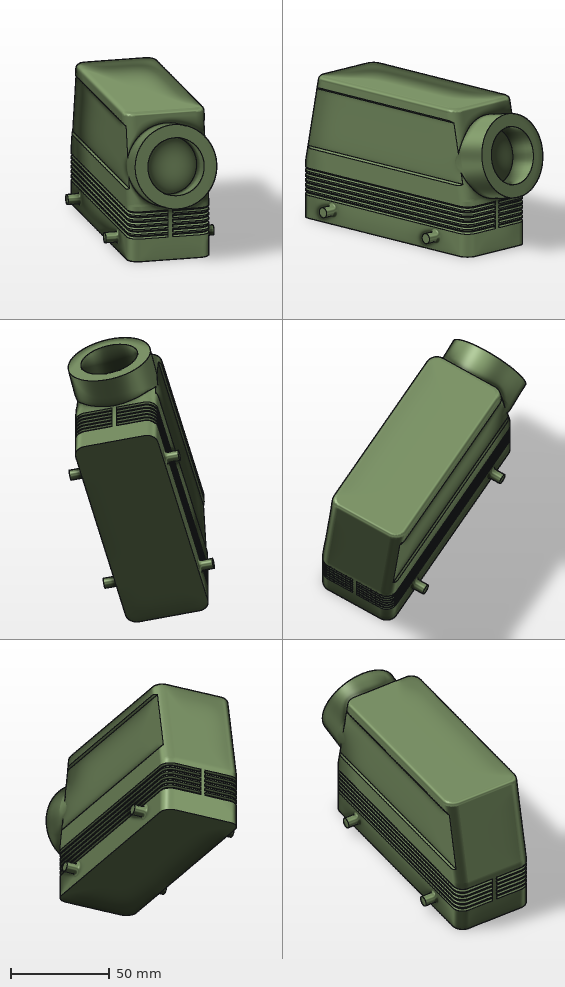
import cadquery as cq
import math

overall_length = 135.2

body_length = 120.1
body_width = 43.0
body_height = 76.0
knee_height = 29.5
end_slope = 11.7
knee_radius = 6.8
corner_radius = 5.8
top_edge_radius = 2.5

panel_depth = 1.01
panel_bottom = 36.9
panel_top = 69.9

groove_count = 6
groove_band_height = 14.3
groove_height = 1.8
groove_depth = 0.88
groove_band_bottom = 12.0
end_rib_width = 2.5

pin_spacing = 74.1
pin_height = 7.5
pin_diameter = 5.3
pin_tip_span = 57.0
pin_flare_diameter = 8.4

entry_height = 49.0
entry_diameter = body_width
bore_diameter = 29.6
root_length = 10.8
root_taper = 10.0

half_length = body_length / 2
half_width = body_width / 2
slope = math.radians(end_slope)
groove_pitch = (groove_band_height - groove_height) / (groove_count - 1)


def end_x(z):
    """Half length of the sloped body at height z."""
    return half_length - (z - knee_height) * math.tan(slope)


def make_body():
    top_half = end_x(body_height)
    body = (
        cq.Workplane("XZ")
        .polyline([
            (-half_length, 0),
            (half_length, 0),
            (half_length, knee_height),
            (top_half, body_height),
            (-top_half, body_height),
            (-half_length, knee_height),
        ])
        .close()
        .extrude(half_width, both=True)
    )
    knee_edges = cq.selectors.BoxSelector(
        (-body_length, -body_width, knee_height - knee_radius),
        (body_length, body_width, knee_height + knee_radius),
    )
    body = body.edges("|Y").edges(knee_edges).fillet(knee_radius)
    body = body.faces("<Y or >Y").edges("not #Z").fillet(corner_radius)
    return body.faces(">Z").edges().fillet(top_edge_radius)


def panel_cutter(side):
    """Full-length band with 45 degree edges; side is -1 or 1 along Y."""
    face = side * half_width
    floor = side * (half_width - panel_depth)
    return (
        cq.Workplane("YZ")
        .polyline([
            (face, panel_bottom),
            (floor, panel_bottom + panel_depth),
            (floor, panel_top - panel_depth),
            (face, panel_top),
        ])
        .close()
        .extrude(half_length, both=True)
    )


def groove_cutter(bottom):
    """V groove around the base, interrupted by the end ribs."""
    half_height = groove_height / 2
    taper = math.degrees(math.atan2(groove_depth, half_height))
    base = cq.Workplane("XY", origin=(0, 0, bottom))
    outline = cq.Sketch().rect(body_length, body_width).vertices().fillet(corner_radius)

    slab = base.rect(body_length, body_width).extrude(groove_height)
    ribs = base.rect(body_length, end_rib_width).extrude(groove_height)
    lower_core = base.placeSketch(outline).extrude(half_height, taper=taper)
    upper_core = lower_core.mirror("XY", (0, 0, bottom + half_height))
    return slab.cut(lower_core).cut(upper_core).cut(ribs)


def make_pin(x, side):
    """Round pin with a concave flare where it meets the long side."""
    pin_radius = pin_diameter / 2
    flare_radius = pin_flare_diameter / 2
    root_radius = flare_radius - pin_radius
    arc_offset = root_radius * (1 - math.sqrt(0.5))
    flare_end = half_width + root_radius
    tip = pin_tip_span / 2
    pin = (
        cq.Workplane("XY")
        .moveTo(0, 0)
        .lineTo(flare_radius, 0)
        .lineTo(flare_radius, half_width)
        .threePointArc((pin_radius + arc_offset, half_width + arc_offset), (pin_radius, flare_end))
        .lineTo(pin_radius, tip)
        .lineTo(0, tip)
        .close()
        .revolve(360, (0, 0, 0), (0, 1, 0))
    )
    if side < 0:
        pin = pin.mirror("XZ")
    return pin.translate((x, 0, pin_height))


entry_radius = entry_diameter / 2
entry_face_x = end_x(entry_height)
lip_reach = overall_length - half_length - entry_face_x
entry_length = (lip_reach - entry_radius * math.sin(slope)) / math.cos(slope)
entry_plane = cq.Plane(
    origin=(entry_face_x, 0, entry_height),
    xDir=(0, 1, 0),
    normal=(math.cos(slope), 0, math.sin(slope)),
)


def make_entry():
    """Round spout outside the end face, with a root narrowing into the body."""
    spout = cq.Workplane(entry_plane).circle(entry_radius).extrude(entry_length)
    root = cq.Workplane(entry_plane).circle(entry_radius).extrude(-root_length, taper=root_taper)
    return spout.union(root)


def bore_cutter():
    """Blind bore as deep as the spout is long."""
    return cq.Workplane(entry_plane).circle(bore_diameter / 2).extrude(entry_length)


result = make_body()

for side in (-1, 1):
    result = result.cut(panel_cutter(side))

for index in range(groove_count):
    result = result.cut(groove_cutter(groove_band_bottom + index * groove_pitch))

for x in (-pin_spacing / 2, pin_spacing / 2):
    for side in (-1, 1):
        result = result.union(make_pin(x, side))

result = result.union(make_entry()).cut(bore_cutter())